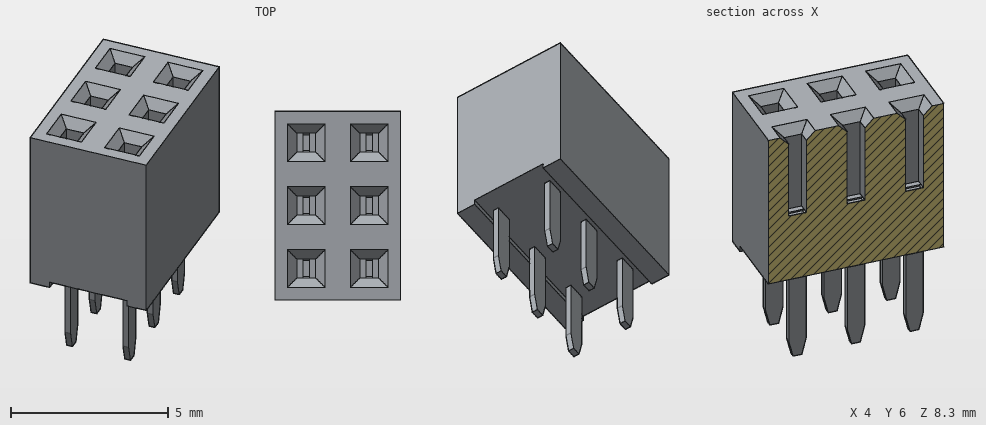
import cadquery as cq

pitch = 2.0
columns = 2
rows = 3
body_height = 5.6

foot_width = 0.67
foot_height = 0.2

funnel_mouth = 1.2
socket_width = 0.6
funnel_depth = (funnel_mouth - socket_width) / 2
socket_depth = 3.0

slot_width = 0.2
slot_floor_length = 0.5
slot_depth = (socket_width - slot_floor_length) / 2

pin_thickness = 0.2
pin_width = 0.6
pin_tip_width = 0.3
pin_tip_length = 0.6
pin_reach = 2.7

body_x = columns * pitch
body_y = rows * pitch
relief_width = body_x - 2 * foot_width
socket_floor_z = body_height - socket_depth


def make_housing():
    """Rectangular block with a shallow relief running through it along Y."""
    block = cq.Workplane("XY").box(body_x, body_y, body_height, centered=(True, True, False))
    relief = cq.Workplane("XY").box(relief_width, body_y, foot_height, centered=(True, True, False))
    return block.cut(relief)


def plate_from_yz_outline(points, thickness):
    """Flat plate with the given YZ outline, centred on X = 0."""
    return cq.Workplane("YZ").polyline(points).close().extrude(thickness / 2, both=True)


def make_socket():
    """Cutter for one socket: square funnel, straight well and narrow floor slot."""
    funnel = (
        cq.Workplane("XY", origin=(0, 0, body_height))
        .rect(funnel_mouth, funnel_mouth)
        .workplane(offset=-funnel_depth)
        .rect(socket_width, socket_width)
        .loft(ruled=True)
    )
    well = (
        cq.Workplane("XY", origin=(0, 0, socket_floor_z))
        .rect(socket_width, socket_width)
        .extrude(socket_depth - funnel_depth)
    )
    slot = plate_from_yz_outline(
        [
            (-socket_width / 2, socket_floor_z),
            (-slot_floor_length / 2, socket_floor_z - slot_depth),
            (slot_floor_length / 2, socket_floor_z - slot_depth),
            (socket_width / 2, socket_floor_z),
        ],
        slot_width,
    )
    return funnel.union(well).union(slot)


def make_pin():
    """Flat pin hanging from the relief face, with a tapered tip."""
    shoulder_z = pin_tip_length - pin_reach
    return plate_from_yz_outline(
        [
            (-pin_width / 2, foot_height),
            (-pin_width / 2, shoulder_z),
            (-pin_tip_width / 2, -pin_reach),
            (pin_tip_width / 2, -pin_reach),
            (pin_width / 2, shoulder_z),
            (pin_width / 2, foot_height),
        ],
        pin_thickness,
    )


result = make_housing()
socket = make_socket()
pin = make_pin()
for column in range(columns):
    for row in range(rows):
        position = (
            (column - (columns - 1) / 2) * pitch,
            (row - (rows - 1) / 2) * pitch,
            0,
        )
        result = result.cut(socket.translate(position)).union(pin.translate(position))